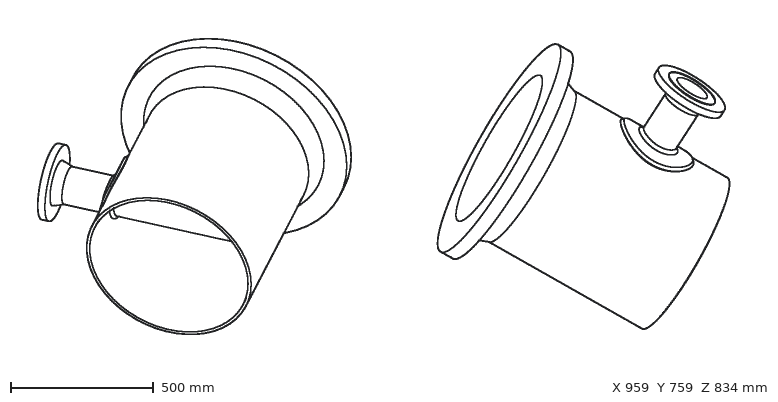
import cadquery as cq

total_length = 759.0
shell_radius = 304.0
shell_wall = 11.5
shell_bore_radius = shell_radius - shell_wall

flange_radius = 417.0
flange_thickness = 50.0
neck_length = 81.0
neck_radius = 333.4

nozzle_y = 297.0
nozzle_length = 797.0
nozzle_radius = 68.0
nozzle_bore_radius = 61.0
nozzle_start_x = flange_radius - 959.0
nozzle_flange_radius = 137.0
nozzle_flange_thickness = 27.0
raised_face_radius = 95.0
raised_face_height = 3.0
hub_radius = 82.0
hub_length = 39.0

pad_half_length = 150.0
pad_half_height = 144.0
pad_thickness = 10.0
pad_bevel = 9.0
weld_leg = 11.5


def cylinder_y(radius):
    """Solid cylinder over the full shell length."""
    return cq.Workplane("XZ").circle(radius).extrude(-total_length)


def make_shell_body():
    """Outer body of the shell, neck and flange, before boring."""
    flange_face_y = total_length - flange_thickness
    profile = [
        (0, 0),
        (shell_radius, 0),
        (shell_radius, flange_face_y - neck_length),
        (neck_radius, flange_face_y),
        (flange_radius, flange_face_y),
        (flange_radius, total_length),
        (0, total_length),
    ]
    return cq.Workplane("XY").polyline(profile).close().revolve(360, (0, 0, 0), (0, 1, 0))


def make_pad():
    """Curved oval pad with a bevelled rim, seated on the shell."""
    oval = (
        cq.Workplane("YZ")
        .center(nozzle_y, 0)
        .ellipse(pad_half_length, pad_half_height)
        .extrude(nozzle_start_x)
    )
    pad = oval.intersect(cylinder_y(shell_radius + pad_thickness)).cut(cylinder_y(shell_bore_radius))
    return pad.faces("<X").edges().chamfer(pad_bevel)


def make_nozzle():
    """Solid nozzle: raised face, flange, tapered hub and pipe."""
    flange_front_x = nozzle_start_x + raised_face_height
    flange_back_x = flange_front_x + nozzle_flange_thickness
    profile = [
        (nozzle_start_x, 0),
        (nozzle_start_x, raised_face_radius),
        (flange_front_x, raised_face_radius),
        (flange_front_x, nozzle_flange_radius),
        (flange_back_x, nozzle_flange_radius),
        (flange_back_x, hub_radius),
        (flange_back_x + hub_length, nozzle_radius),
        (nozzle_start_x + nozzle_length, nozzle_radius),
        (nozzle_start_x + nozzle_length, 0),
    ]
    nozzle = cq.Workplane("XY").polyline(profile).close().revolve(360, (0, 0, 0), (1, 0, 0))
    return nozzle.translate((0, nozzle_y, 0))


def make_nozzle_bore():
    """Straight bore through the whole nozzle."""
    return (
        cq.Workplane("YZ", origin=(nozzle_start_x, nozzle_y, 0))
        .circle(nozzle_bore_radius)
        .extrude(nozzle_length)
    )


def weld_edges(body):
    """Chamfer the seams where the nozzle crosses the pad and the shell wall."""
    margin = 10.0
    reach = nozzle_radius + margin
    seam_box = cq.selectors.BoxSelector(
        (-shell_radius - pad_thickness - margin, nozzle_y - reach, -reach),
        (0, nozzle_y + reach, reach),
        boundingbox=True,
    )
    return body.edges(seam_box).chamfer(weld_leg)


vessel = make_shell_body().union(make_pad()).cut(cylinder_y(shell_bore_radius))
result = weld_edges(vessel.union(make_nozzle())).cut(make_nozzle_bore())